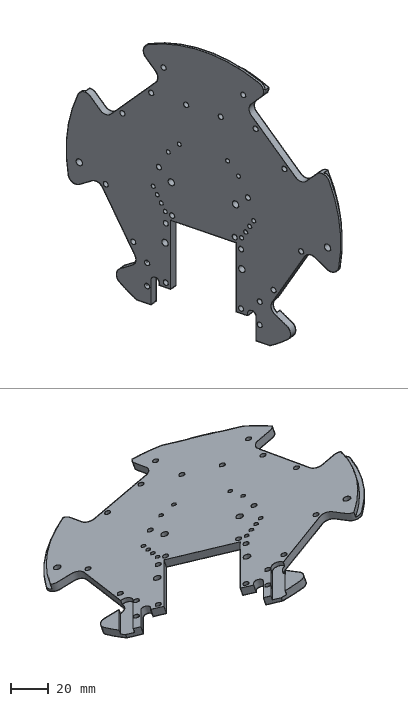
import cadquery as cq
import math

disc_radius = 88.0
plate_thickness = 5.0
foot_bottom = -76.9
corner_radius = 5.0
overshoot = 17.6

notch_floor = 63.5
notch_width = 50.0
upper_notch_angle = 45.0
lower_notch_angle = -31.1

opening_half_width = 21.0
opening_top = -21.5
leg_bottom = -63.3
foot_inner_x = 33.6
relief_width = 5.3
relief_top = -59.3

rim_thickness = 1.5
rear_radius = 85.5
rear_flat_top = 82.5
rim_bottom = -35.2

pocket_floor = 2.3
pocket_radius = 3.9
pocket_x = 41.7
pocket_top = -47.7

pilot_diameter = 2.5
screw_diameter = 3.2
bolt_diameter = 4.0

notch_hole_inset = 3.2
notch_hole_offset = 13.0
notch_hole_far_offset = 21.1

upper_pilots = [(15.5, 26.5), (22.5, 19.5)]
row_pilot_count = 4
row_pilot_start = (32.2, -4.4)
row_pilot_end = (24.5, -17.2)

screw_points = [
    (25.5, 69.9),
    (11.0, 51.9),
    (28.5, 8.5),
    (20.0, -18.3),
    (24.1, -24.3),
    (24.1, -60.4),
    (36.0, -52.3),
    (36.0, -66.3),
]
bolt_points = [(20.5, 1.8), (24.6, -36.2), (79.5, -5.3)]


def extrude_back(sketch, start, end):
    """Turn a sketch in XZ into a solid spanning Y = start to Y = end."""
    return sketch.extrude(-(end - start)).translate((0, start, 0))


def box(x_min, x_max, z_min, z_max, y_min=0.0, y_max=plate_thickness):
    """Axis-aligned block given by its limits."""
    size = (x_max - x_min, y_max - y_min, z_max - z_min)
    return cq.Workplane("XY").box(*size, centered=False).translate((x_min, y_min, z_min))


def disc(radius, x=0.0, z=0.0, y_min=0.0, y_max=plate_thickness):
    """Round slab with its axis along Y."""
    return extrude_back(cq.Workplane("XZ").center(x, z).circle(radius), y_min, y_max)


def both_sides(shape):
    """The shape together with its mirror image across X = 0."""
    return shape.union(shape.mirror("YZ"))


def at_angle(radial, offset, angle):
    """Point at a radial distance and a sideways (counterclockwise) offset from a direction."""
    a = math.radians(angle)
    return (
        radial * math.cos(a) - offset * math.sin(a),
        radial * math.sin(a) + offset * math.cos(a),
    )


def notch(angle):
    """Cutter for one wheel notch, with rounded floor corners."""
    outer = disc_radius + overshoot
    half = notch_width / 2
    cutter = box(notch_floor, outer, -half, half).edges("|Y and <X").fillet(corner_radius)
    return cutter.rotate((0, 0, 0), (0, 1, 0), -angle)


def plate_blank():
    """Disc with the flat foot edge and four wheel notches, lobe tips rounded."""
    blank = disc(disc_radius).cut(
        box(-disc_radius, disc_radius, foot_bottom - overshoot, foot_bottom)
    )
    for angle in (upper_notch_angle, lower_notch_angle):
        blank = blank.cut(both_sides(notch(angle)))
        for half in (-notch_width / 2, notch_width / 2):
            x, z = at_angle(math.sqrt(disc_radius**2 - half**2), half, angle)
            for tip_x in (-x, x):
                tip = cq.selectors.NearestToPointSelector((tip_x, plate_thickness / 2, z))
                blank = blank.edges("|Y").edges(tip).fillet(corner_radius)
    return blank


def leg_opening():
    """Central opening, the wider gap between the feet and the round-topped reliefs."""
    low = foot_bottom - overshoot
    relief_radius = relief_width / 2
    relief_x = foot_inner_x - relief_radius
    relief_centre = relief_top - relief_radius
    relief = disc(relief_radius, relief_x, relief_centre).union(
        box(relief_x - relief_radius, foot_inner_x, low, relief_centre)
    )
    return (
        box(-opening_half_width, opening_half_width, low, opening_top)
        .union(box(-foot_inner_x, foot_inner_x, low, leg_bottom))
        .union(both_sides(relief))
    )


def rim_recess():
    """Material outside the rear disc and its flat top, behind the thin rim."""
    reach = disc_radius + overshoot
    rear = disc(rear_radius).cut(box(-reach, reach, rear_flat_top, reach))
    recess = box(-reach, reach, rim_bottom, reach).cut(rear)
    return recess.intersect(box(-reach, reach, rim_bottom, reach, rim_thickness))


def foot_pocket():
    """Round-ended rear pocket running off the bottom of the +X foot."""
    centre = pocket_top - pocket_radius
    low = foot_bottom - overshoot
    pocket = disc(pocket_radius, pocket_x, centre, pocket_floor)
    return pocket.union(
        box(pocket_x - pocket_radius, pocket_x + pocket_radius, low, centre, pocket_floor)
    )


def holes(points, diameter):
    """Through-hole cutters at the points and their mirror images."""
    mirrored = points + [(-x, z) for x, z in points]
    sketch = cq.Workplane("XZ").pushPoints(mirrored).circle(diameter / 2)
    return extrude_back(sketch, 0, plate_thickness)


def pilot_points():
    """Two pilots above and an even slanted row below."""
    (x0, z0), (x1, z1) = row_pilot_start, row_pilot_end
    steps = [i / (row_pilot_count - 1) for i in range(row_pilot_count)]
    return upper_pilots + [(x0 + (x1 - x0) * t, z0 + (z1 - z0) * t) for t in steps]


def notch_screw_points():
    """Two screws just inside the floor of each +X notch."""
    radial = notch_floor - notch_hole_inset
    return [
        at_angle(radial, notch_hole_offset, upper_notch_angle),
        at_angle(radial, -notch_hole_offset, upper_notch_angle),
        at_angle(radial, notch_hole_far_offset, lower_notch_angle),
        at_angle(radial, -notch_hole_offset, lower_notch_angle),
    ]


result = (
    plate_blank()
    .cut(leg_opening())
    .cut(rim_recess())
    .cut(both_sides(foot_pocket()))
    .cut(holes(pilot_points(), pilot_diameter))
    .cut(holes(screw_points + notch_screw_points(), screw_diameter))
    .cut(holes(bolt_points, bolt_diameter))
)